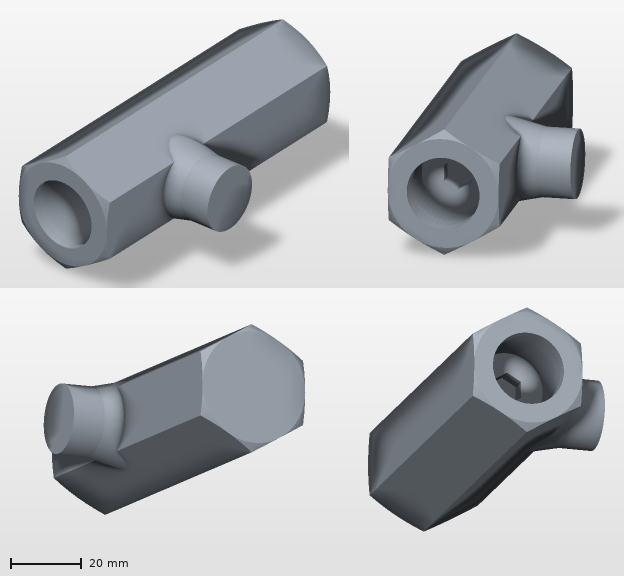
import cadquery as cq
import math

body_length = 100.0
across_flats = 32.0
across_corners = across_flats / math.cos(math.radians(30))
chamfer_angle = 30.0

bore_diameter = 21.0
bore_depth = 20.0
socket_across_flats = 8.2
socket_depth = 5.0

stub_diameter = 20.0
stub_reach = 31.0
stub_y = -13.4
neck_start_x = 21.5
neck_angle = 13.0

front_y = -body_length / 2


def hex_prism(flats, start_y, length):
    """Hexagonal prism running along +Y from start_y, with corners at top and bottom."""
    corner_circle = flats / math.cos(math.radians(30))
    return (
        cq.Workplane("XZ", origin=(0, start_y, 0))
        .transformed(rotate=(0, 0, 90))
        .polygon(6, corner_circle)
        .extrude(-length)
    )


def end_chamfer_envelope():
    """Round bar whose conical ends trim the corners of the hexagonal body."""
    end_radius = across_flats / 2
    bar_radius = across_corners / 2 + 1.0
    half_length = body_length / 2
    cone_length = (bar_radius - end_radius) * math.tan(math.radians(chamfer_angle))
    return (
        cq.Workplane("XY")
        .moveTo(0, -half_length)
        .lineTo(end_radius, -half_length)
        .lineTo(bar_radius, -half_length + cone_length)
        .lineTo(bar_radius, half_length - cone_length)
        .lineTo(end_radius, half_length)
        .lineTo(0, half_length)
        .close()
        .revolve(360, (0, 0, 0), (0, 1, 0))
    )


def side_stub():
    """Cylindrical stub and conical neck, starting on the body axis."""
    stub_radius = stub_diameter / 2
    root_radius = stub_radius + neck_start_x * math.tan(math.radians(neck_angle))
    return (
        cq.Workplane("XY", origin=(0, stub_y, 0))
        .lineTo(0, root_radius)
        .lineTo(neck_start_x, stub_radius)
        .lineTo(stub_reach, stub_radius)
        .lineTo(stub_reach, 0)
        .close()
        .revolve(360, (0, 0, 0), (1, 0, 0))
    )


def front_bore():
    """Round bore entering from the -Y end face."""
    return (
        cq.Workplane("XZ", origin=(0, front_y, 0))
        .circle(bore_diameter / 2)
        .extrude(-bore_depth)
    )


body = hex_prism(across_flats, front_y, body_length).intersect(end_chamfer_envelope())
socket = hex_prism(socket_across_flats, front_y + bore_depth, socket_depth)

result = body.union(side_stub()).cut(front_bore()).cut(socket)